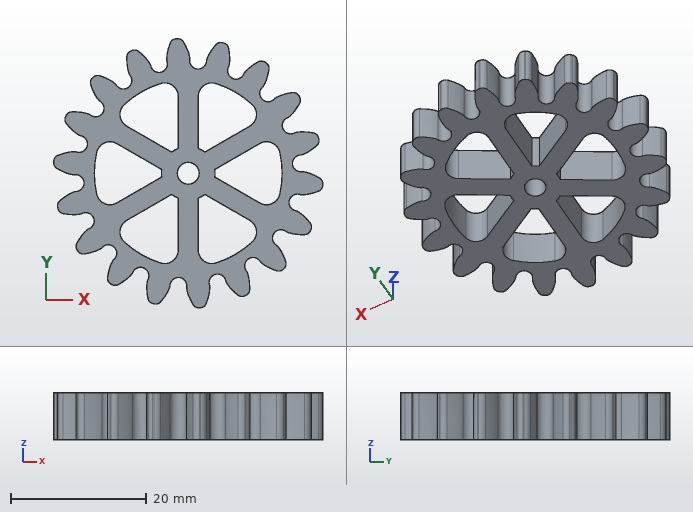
import cadquery as cq
import math


overall_size = 39.85
tip_overshoot = 0.065
tooth_count = 18
pressure_angle = math.radians(20)
dedendum_ratio = 1.25
tip_fillet = 1.0
thickness = 7.0
first_tooth_angle = math.radians(15)
flank_points = 8

bore_diameter = 3.2
hub_radius = 4
spoke_count = 6
spoke_width = 3.0
first_spoke_angle = 30
window_outer_radius = 13.87
window_fillet = 2

outer_radius = overall_size / 2 + tip_overshoot
module = 2 * outer_radius / (tooth_count + 2)
pitch_radius = module * tooth_count / 2
root_radius = pitch_radius - dedendum_ratio * module
base_radius = pitch_radius * math.cos(pressure_angle)
tooth_pitch = 2 * math.pi / tooth_count
spoke_pitch = 360 / spoke_count


def polar(radius, angle):
    return (radius * math.cos(angle), radius * math.sin(angle))


def involute(angle):
    return math.tan(angle) - angle


def half_tooth_angle(radius):
    """Angle from the tooth centre line to its flank at the given radius."""
    local_pressure_angle = math.acos(min(1, base_radius / radius))
    return tooth_pitch / 4 + involute(pressure_angle) - involute(local_pressure_angle)


def vertical_edges_outside(body, radius):
    """Edges along Z that lie farther than the given radius from the gear axis."""
    return body.edges("|Z").filter(lambda edge: math.hypot(edge.Center().x, edge.Center().y) > radius)


def gear_blank():
    """Toothed disc: involute flanks, rounded tips and round roots."""
    flank_radii = []
    for i in range(flank_points):
        step = i / (flank_points - 1)
        flank_radii.append(base_radius + (outer_radius - base_radius) * step**2)

    base_half_angle = half_tooth_angle(base_radius)
    outline = cq.Workplane("XY").moveTo(*polar(base_radius, first_tooth_angle - base_half_angle))
    for tooth in range(tooth_count):
        centre = first_tooth_angle + tooth * tooth_pitch
        rising = [polar(r, centre - half_tooth_angle(r)) for r in flank_radii]
        falling = [polar(r, centre + half_tooth_angle(r)) for r in reversed(flank_radii)]
        root_middle = polar(root_radius, centre + tooth_pitch / 2)
        next_flank = polar(base_radius, centre + tooth_pitch - base_half_angle)
        outline = (
            outline.spline(rising[1:], includeCurrent=True)
            .threePointArc(polar(outer_radius, centre), falling[0])
            .spline(falling[1:], includeCurrent=True)
            .threePointArc(root_middle, next_flank)
        )
    blank = outline.close().extrude(thickness)
    return vertical_edges_outside(blank, pitch_radius).fillet(tip_fillet)


def window_cutter():
    """Ring between hub and rim, split by the spokes, with rounded outer corners."""
    cutter = cq.Workplane("XY").circle(window_outer_radius).circle(hub_radius).extrude(thickness)
    bar = cq.Workplane("XY").rect(2 * outer_radius, spoke_width).extrude(thickness)
    for spoke in range(spoke_count // 2):
        cutter = cutter.cut(bar.rotate((0, 0, 0), (0, 0, 1), first_spoke_angle + spoke * spoke_pitch))
    middle_radius = (hub_radius + window_outer_radius) / 2
    return vertical_edges_outside(cutter, middle_radius).fillet(window_fillet)


bore = cq.Workplane("XY").circle(bore_diameter / 2).extrude(thickness)
result = gear_blank().cut(window_cutter()).cut(bore)